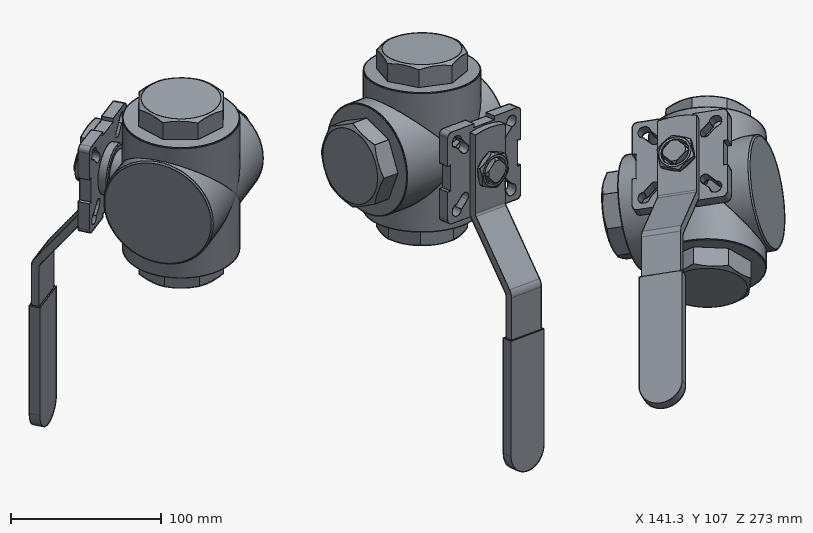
import cadquery as cq
import math

BARREL_DIAMETER = 78.0
BARREL_END = 50.5
BACK_END = 50.2
BLIND_END = 41.8
CAPPED_END_CHAMFER = 0.5
BLIND_END_CHAMFER = 1.0

CAP_HEIGHT = 15.0
CAP_CORNER_DIAMETER = 60.5
CAP_FACE_DIAMETER = 53.0
CAP_SIDES = 8
TOP_CAP_TWIST = -2.0
CHAMFER_ANGLE = 30.0

NECK_DIAMETER = 29.0
COLLAR_DIAMETER = 36.0
COLLAR_INNER_X = -45.5
COLLAR_CHAMFER = 0.8
PLATE_INNER_X = -52.0
PLATE_THICKNESS = 8.2
PLATE_WIDTH = 66.3
PLATE_CORNER_RADIUS = 3.5
NOTCH_WIDTH = 18.5
NOTCH_DEPTH = 2.7
OUTER_BOLT_OFFSET = 24.8
OUTER_BOLT_DIAMETER = 8.5
INNER_BOLT_OFFSET = 17.5
INNER_BOLT_DIAMETER = 6.5

LEVER_GAP = 0.5
LEVER_THICKNESS = 5.5
LEVER_WIDTH = 27.3
LEVER_TOP_Z = 29.7
LEVER_TOP_RISE = 1.6
UPPER_BEND_Z = -29.7
LOWER_BEND_Z = -75.5
LEVER_OFFSET = 35.0
BEND_INNER_RADIUS = 3.3
GRIP_TOP_Z = -109.2
GRIP_BOTTOM_Z = -207.5
GRIP_THICKNESS = 7.6
GRIP_WIDTH = 30.0

NUT_CORNER_DIAMETER = 27.3
NUT_FACE_DIAMETER = 22.5
NUT_THICKNESS = 5.0
NUT_SIDES = 6
NUT_TWIST = 10.0
TIP_DIAMETER = 19.0
TIP_ACROSS_FLATS = 14.2
TIP_HEIGHT = 2.0
TIP_CHAMFER = 1.6

PLATE_OUTER_X = PLATE_INNER_X - PLATE_THICKNESS
LEVER_INNER_X = PLATE_OUTER_X - LEVER_GAP
LEVER_OUTER_X = LEVER_INNER_X - LEVER_THICKNESS
NUT_OUTER_X = LEVER_OUTER_X - NUT_THICKNESS


def cylinder_along_x(diameter, x_start, x_end):
    """Round bar on the X axis between two X positions."""
    return cq.Workplane("YZ", origin=(x_start, 0, 0)).circle(diameter / 2).extrude(x_end - x_start)


def chamfer_cone(corner_diameter, face_diameter, height):
    """Round blank standing on Z = 0 whose top rim slopes down to the prism corners."""
    corner_radius = corner_diameter / 2
    face_radius = face_diameter / 2
    drop = (corner_radius - face_radius) * math.tan(math.radians(CHAMFER_ANGLE))
    profile = [(0, 0), (corner_radius, 0), (corner_radius, height - drop), (face_radius, height), (0, height)]
    return cq.Workplane("XZ").polyline(profile).close().revolve(360, (0, 0, 0), (0, 1, 0))


def chamfered_prism(sides, corner_diameter, face_diameter, height, twist):
    """Regular prism standing on Z = 0 with a conical chamfer on top."""
    prism = cq.Workplane("XY").polygon(sides, corner_diameter).extrude(height)
    prism = prism.rotate((0, 0, 0), (0, 0, 1), twist)
    return prism.intersect(chamfer_cone(corner_diameter, face_diameter, height))


def make_body():
    barrel_radius = BARREL_DIAMETER / 2
    vertical = cq.Workplane("XY", origin=(0, 0, -BARREL_END)).circle(barrel_radius).extrude(2 * BARREL_END)
    side = cq.Workplane("XZ", origin=(0, BACK_END, 0)).circle(barrel_radius).extrude(BACK_END + BLIND_END)
    vertical = vertical.faces("<Z or >Z").chamfer(CAPPED_END_CHAMFER)
    side = side.faces(">Y").chamfer(CAPPED_END_CHAMFER)
    side = side.faces("<Y").chamfer(BLIND_END_CHAMFER)
    return vertical.union(side)


def make_cap(twist=0.0):
    """End cap standing on Z = 0."""
    return chamfered_prism(CAP_SIDES, CAP_CORNER_DIAMETER, CAP_FACE_DIAMETER, CAP_HEIGHT, twist)


def make_caps():
    top = make_cap(TOP_CAP_TWIST).translate((0, 0, BARREL_END))
    bottom = make_cap().rotate((0, 0, 0), (1, 0, 0), 180).translate((0, 0, -BARREL_END))
    back = make_cap().rotate((0, 0, 0), (1, 0, 0), -90).translate((0, BACK_END, 0))
    return top.union(bottom).union(back)


def make_stem():
    neck = cylinder_along_x(NECK_DIAMETER, PLATE_OUTER_X, 0)
    collar = cylinder_along_x(COLLAR_DIAMETER, PLATE_INNER_X, COLLAR_INNER_X)
    collar = collar.faces(">X").chamfer(COLLAR_CHAMFER)
    spindle = cylinder_along_x(TIP_DIAMETER, LEVER_OUTER_X, PLATE_OUTER_X)
    return neck.union(collar).union(spindle)


def bolt_slot():
    """Keyhole-shaped cutter: a wide outer hole running into a narrower inner slot."""
    face = cq.Workplane("YZ", origin=(PLATE_OUTER_X, 0, 0))
    outer_radius = OUTER_BOLT_OFFSET * math.sqrt(2)
    inner_radius = INNER_BOLT_OFFSET * math.sqrt(2)
    slot_length = outer_radius - inner_radius + INNER_BOLT_DIAMETER
    hole = face.center(outer_radius, 0).circle(OUTER_BOLT_DIAMETER / 2).extrude(PLATE_THICKNESS)
    slot = face.center((outer_radius + inner_radius) / 2, 0)
    slot = slot.slot2D(slot_length, INNER_BOLT_DIAMETER).extrude(PLATE_THICKNESS)
    return hole.union(slot)


def make_plate():
    face = cq.Workplane("YZ", origin=(PLATE_OUTER_X, 0, 0))
    plate = face.rect(PLATE_WIDTH, PLATE_WIDTH).extrude(PLATE_THICKNESS)
    plate = plate.edges("|X").fillet(PLATE_CORNER_RADIUS)
    notch = face.center(0, PLATE_WIDTH / 2).rect(NOTCH_WIDTH, 2 * NOTCH_DEPTH).extrude(PLATE_THICKNESS)
    slot = bolt_slot()
    for quarter in range(4):
        turn = 90 * quarter
        plate = plate.cut(notch.rotate((0, 0, 0), (1, 0, 0), turn))
        plate = plate.cut(slot.rotate((0, 0, 0), (1, 0, 0), turn + 45))
    return plate


def make_lever_strip():
    """Flat bar with two opposite bends, arched at its upper end."""
    bend_angle = math.atan2(LEVER_OFFSET, UPPER_BEND_Z - LOWER_BEND_Z)
    bend_shift = LEVER_THICKNESS * math.tan(bend_angle / 2)
    low_outer_x = LEVER_OUTER_X - LEVER_OFFSET
    low_inner_x = LEVER_INNER_X - LEVER_OFFSET
    upper_outer = (LEVER_OUTER_X, UPPER_BEND_Z)
    lower_outer = (low_outer_x, LOWER_BEND_Z)
    upper_inner = (LEVER_INNER_X, UPPER_BEND_Z - bend_shift)
    lower_inner = (low_inner_x, LOWER_BEND_Z - bend_shift)
    profile = [
        (LEVER_OUTER_X, LEVER_TOP_Z), upper_outer, lower_outer, (low_outer_x, GRIP_TOP_Z),
        (low_inner_x, GRIP_TOP_Z), lower_inner, upper_inner, (LEVER_INNER_X, LEVER_TOP_Z),
    ]
    strip = cq.Workplane("XZ").polyline(profile).close().extrude(LEVER_WIDTH / 2, both=True)

    bend_outer_radius = BEND_INNER_RADIUS + LEVER_THICKNESS
    bends = [
        (upper_outer, BEND_INNER_RADIUS), (upper_inner, bend_outer_radius),
        (lower_outer, bend_outer_radius), (lower_inner, BEND_INNER_RADIUS),
    ]
    for (x, z), radius in bends:
        strip = strip.edges(cq.NearestToPointSelector((x, 0, z))).fillet(radius)

    half_width = LEVER_WIDTH / 2
    shoulder_z = LEVER_TOP_Z - LEVER_TOP_RISE
    outline = (
        cq.Workplane("YZ", origin=(low_outer_x, 0, 0))
        .moveTo(-half_width, GRIP_TOP_Z)
        .lineTo(-half_width, shoulder_z)
        .threePointArc((0, LEVER_TOP_Z), (half_width, shoulder_z))
        .lineTo(half_width, GRIP_TOP_Z)
        .close()
        .extrude(LEVER_INNER_X - low_outer_x)
    )
    return strip.intersect(outline)


def make_grip():
    half_width = GRIP_WIDTH / 2
    round_z = GRIP_BOTTOM_Z + half_width
    grip_x = LEVER_OUTER_X - LEVER_OFFSET - (GRIP_THICKNESS - LEVER_THICKNESS) / 2
    return (
        cq.Workplane("YZ", origin=(grip_x, 0, 0))
        .moveTo(-half_width, GRIP_TOP_Z)
        .lineTo(-half_width, round_z)
        .threePointArc((0, GRIP_BOTTOM_Z), (half_width, round_z))
        .lineTo(half_width, GRIP_TOP_Z)
        .close()
        .extrude(GRIP_THICKNESS)
    )


def make_lever_nut():
    """Hexagon nut chamfered on both faces and bored for the stem, on the -X face of the lever."""
    nut = chamfered_prism(NUT_SIDES, NUT_CORNER_DIAMETER, NUT_FACE_DIAMETER, NUT_THICKNESS, NUT_TWIST)
    blank = chamfer_cone(NUT_CORNER_DIAMETER, NUT_FACE_DIAMETER, NUT_THICKNESS)
    nut = nut.faces(">Z").workplane().circle(TIP_DIAMETER / 2).cutThruAll()
    nut = nut.intersect(blank.mirror("XY").translate((0, 0, NUT_THICKNESS)))
    return nut.rotate((0, 0, 0), (0, 1, 0), -90).translate((LEVER_OUTER_X, 0, 0))


def make_stem_tip():
    """Stem end with four flats standing diagonally, running through the nut."""
    tip_x = NUT_OUTER_X - TIP_HEIGHT
    tip = cylinder_along_x(TIP_DIAMETER, tip_x, LEVER_OUTER_X)
    tip = tip.faces("<X").chamfer(TIP_CHAMFER)
    flats = cq.Workplane("YZ", origin=(tip_x, 0, 0)).rect(TIP_ACROSS_FLATS, TIP_ACROSS_FLATS)
    flats = flats.extrude(LEVER_OUTER_X - tip_x)
    return tip.intersect(flats.rotate((0, 0, 0), (1, 0, 0), 45))


result = make_body()
for feature in (
    make_caps(), make_stem(), make_plate(), make_lever_strip(),
    make_grip(), make_lever_nut(), make_stem_tip(),
):
    result = result.union(feature)